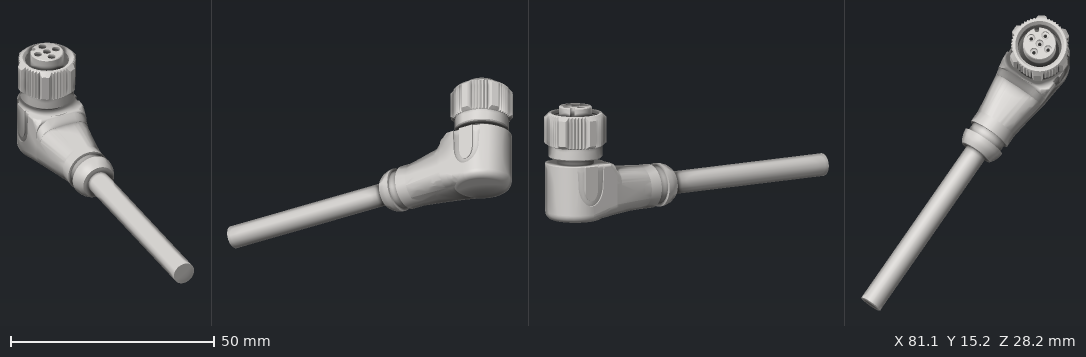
import cadquery as cq
import math


HOUSING_RADIUS = 7.4
HOUSING_TOP = 8.0
HOUSING_BOTTOM = -6.0
HOUSING_EDGE_RADIUS = 1.95
FLANK_TAPER = 3.9
FLANK_END_X = 7.85
FLANK_END_BOTTOM = -5.35
FLANK_TOP_RADIUS = 0.5
FLANK_ROUND_START_X = 5.85

NECK_CORNER_RADIUS = 3.15
NECK_START_TOP = 6.05
NECK_END_X = 19.1
NECK_SEAM_ANGLES = [-59, -23, 26, 59, 121, 154, 203, 239]
SHOULDER_ROUND = 1.0
SHOULDER_START_X = 7.5
SHOULDER_START_TOP = 7.75
SHOULDER_FOOT_X = 9.4
SHOULDER_INSET = 0.05

COLLAR_RADIUS = 5.43
GROOVE_RADIUS = 4.7
GROOVE_START_X = 22.1
GROOVE_END_X = 24.4
RELIEF_END_X = 27.7
RELIEF_END_RADIUS = 4.2
CABLE_RADIUS = 2.8
TOTAL_LENGTH = 81.1
CABLE_END_X = TOTAL_LENGTH - HOUSING_RADIUS

PLUG_NECK_RADIUS = 4.6
RING_RADIUS = 6.65
RING_BOTTOM = 9.5
RING_CHAMFER = 0.25
GRIP_BOTTOM = 12.4
NUT_TOP = 20.5
LUG_COUNT = 6
LUG_FLAT_DISTANCE = 7.6
LUG_TOP_HALF_ANGLE = 6.8
LUG_CORNER_RADIUS = LUG_FLAT_DISTANCE / math.cos(math.radians(LUG_TOP_HALF_ANGLE))
LUG_SIDE_RADIUS = 7.25
LUG_SIDE_HALF_ANGLE = 9.5
TEETH_PER_GAP = 5
TOOTH_PITCH_ANGLE = 7.0
TOOTH_TIP_RADIUS = 7.05
TOOTH_ROOT_RADIUS = 6.65
GRIP_EDGE_RADIUS = 6.6
GRIP_TOP_CHAMFER = LUG_CORNER_RADIUS - GRIP_EDGE_RADIUS
GRIP_BOTTOM_CHAMFER = 0.8

CAVITY_FLOOR = 13.0
THREAD_MINOR_RADIUS = 5.4
THREAD_MAJOR_RADIUS = 6.0
THREAD_PITCH = 1.0
THREAD_TURNS = 6
SEAL_OUTER_RADIUS = 4.8
SEAL_HEIGHT = 2.0

INSERT_RADIUS = 4.05
INSERT_TOP = 22.2
INSERT_CHAMFER = 0.2
CONTACT_SPACING = 2.5
OUTER_CONTACT_COUNT = 4
CONTACT_HOLE_RADIUS = 1.0
CONTACT_BORE_RADIUS = 0.45
CONTACT_RECESS_DEPTH = 1.0
CONTACT_BORE_DEPTH = 6.0
KEY_RADIUS = 0.6
KEY_CENTER_RADIUS = 3.55
KEY_ANGLE = 225.0

FRAME_DEPTH = 0.4
FRAME_TOP_HALF_WIDTH = 3.75
FRAME_HALF_WIDTH = 3.5
FRAME_BEND_Z = 3.2
FRAME_LOW_Z = -1.8
PANEL_HALF_WIDTH = 1.9
PANEL_BEND_Z = 2.4
PANEL_LOW_Z = -0.6
PANEL_FACE_Y = 7.18

TANGENT_X = HOUSING_RADIUS * math.sin(math.radians(FLANK_TAPER))
TANGENT_Y = HOUSING_RADIUS * math.cos(math.radians(FLANK_TAPER))


def flank_half_width(x):
    return TANGENT_Y - (x - TANGENT_X) * math.tan(math.radians(FLANK_TAPER))


def polar(radius, degrees):
    angle = math.radians(degrees)
    return (radius * math.cos(angle), radius * math.sin(angle))


def z_cylinder(radius, bottom, top):
    return cq.Workplane("XY").workplane(offset=bottom).circle(radius).extrude(top - bottom)


def x_revolve(profile):
    return profile.revolve(360, (0, 0, 0), (1, 0, 0))


def z_revolve(points):
    return cq.Workplane("XZ").polyline(points).close().revolve(360, (0, 0, 0), (0, 1, 0))


def rounded_section(x, half_width, bottom, top, bottom_radius, top_radius):
    """Wire in the plane at x: a rectangle with separate bottom and top corner radii."""
    diagonal = math.sqrt(0.5)

    def corner(y_sign, z_sign, radius):
        center_y = y_sign * (half_width - radius)
        edge_z = top if z_sign > 0 else bottom
        center_z = edge_z - z_sign * radius
        on_side = (y_sign * half_width, center_z)
        on_arc = (center_y + y_sign * radius * diagonal, center_z + z_sign * radius * diagonal)
        on_edge = (center_y, edge_z)
        return on_side, on_arc, on_edge

    lower_right = corner(1, -1, bottom_radius)
    upper_right = corner(1, 1, top_radius)
    upper_left = corner(-1, 1, top_radius)
    lower_left = corner(-1, -1, bottom_radius)
    outline = (
        cq.Workplane("YZ", origin=(x, 0, 0))
        .moveTo(*lower_right[2])
        .threePointArc(lower_right[1], lower_right[0])
        .lineTo(*upper_right[0])
        .threePointArc(upper_right[1], upper_right[2])
        .lineTo(*upper_left[2])
        .threePointArc(upper_left[1], upper_left[0])
        .lineTo(*lower_left[0])
        .threePointArc(lower_left[1], lower_left[2])
        .close()
    )
    return outline.val()


def circle_section(x, radius, split_angles):
    """Circle in the plane at x, split into arcs so that it lofts edge by edge."""
    outline = cq.Workplane("YZ", origin=(x, 0, 0)).moveTo(*polar(radius, split_angles[0]))
    following = split_angles[1:] + [split_angles[0] + 360]
    for start, end in zip(split_angles, following):
        outline = outline.threePointArc(polar(radius, (start + end) / 2), polar(radius, end))
    return outline.close().val()


def ruled_loft(sections):
    return cq.Workplane(cq.Solid.makeLoft(sections, True))


def flank_section(x, inset, top_radius):
    """Cross-section of the tapering flanks; the bottom rises and rounds off toward the cable."""
    progress = (x - TANGENT_X) / (FLANK_END_X - TANGENT_X)
    bottom = HOUSING_BOTTOM + progress * (FLANK_END_BOTTOM - HOUSING_BOTTOM)
    bottom_radius = HOUSING_EDGE_RADIUS + progress * (NECK_CORNER_RADIUS - HOUSING_EDGE_RADIUS)
    return rounded_section(x, flank_half_width(x) - inset, bottom, HOUSING_TOP, bottom_radius, top_radius)


def make_flanks(inset=0.0):
    sections = [
        flank_section(TANGENT_X, inset, FLANK_TOP_RADIUS),
        flank_section(FLANK_ROUND_START_X, inset, FLANK_TOP_RADIUS),
        flank_section(FLANK_END_X, inset, NECK_CORNER_RADIUS),
    ]
    return ruled_loft(sections)


def shoulder_round_cutter():
    """Removes the sharp upper edge at the cable end of the flanks."""
    round_start = (FLANK_END_X - SHOULDER_ROUND, HOUSING_TOP)
    round_end = (FLANK_END_X, HOUSING_TOP - SHOULDER_ROUND)
    return (
        cq.Workplane("XZ")
        .moveTo(*round_start)
        .radiusArc(round_end, SHOULDER_ROUND)
        .lineTo(FLANK_END_X, HOUSING_TOP)
        .close()
        .extrude(HOUSING_RADIUS, both=True)
    )


def make_housing():
    shell = z_cylinder(HOUSING_RADIUS, HOUSING_BOTTOM, HOUSING_TOP)
    shell = shell.faces("<Z").edges().fillet(HOUSING_EDGE_RADIUS)
    return shell.union(make_flanks().cut(shoulder_round_cutter()))


def make_shoulder():
    """Ramp from the top of the housing down onto the neck."""
    start = rounded_section(
        SHOULDER_START_X,
        flank_half_width(SHOULDER_START_X) - SHOULDER_INSET,
        0,
        SHOULDER_START_TOP,
        SHOULDER_INSET,
        NECK_CORNER_RADIUS,
    )
    foot_progress = (SHOULDER_FOOT_X - FLANK_END_X) / (NECK_END_X - FLANK_END_X)
    neck_half_width = flank_half_width(FLANK_END_X)
    foot = rounded_section(
        SHOULDER_FOOT_X,
        neck_half_width + foot_progress * (COLLAR_RADIUS - neck_half_width) - SHOULDER_INSET,
        0,
        NECK_START_TOP + foot_progress * (COLLAR_RADIUS - NECK_START_TOP) - SHOULDER_INSET,
        SHOULDER_INSET,
        NECK_CORNER_RADIUS,
    )
    return ruled_loft([start, foot])


def make_neck():
    start = rounded_section(
        FLANK_END_X,
        flank_half_width(FLANK_END_X),
        FLANK_END_BOTTOM,
        NECK_START_TOP,
        NECK_CORNER_RADIUS,
        NECK_CORNER_RADIUS,
    )
    end = circle_section(NECK_END_X, COLLAR_RADIUS, NECK_SEAM_ANGLES)
    return ruled_loft([start, end])


def make_strain_relief_and_cable():
    length = RELIEF_END_X - GROOVE_END_X
    drop = COLLAR_RADIUS - RELIEF_END_RADIUS
    round_radius = (length**2 + drop**2) / (2 * drop)
    profile = (
        cq.Workplane("XY")
        .moveTo(NECK_END_X, 0)
        .lineTo(NECK_END_X, COLLAR_RADIUS)
        .lineTo(GROOVE_START_X, COLLAR_RADIUS)
        .lineTo(GROOVE_START_X, GROOVE_RADIUS)
        .lineTo(GROOVE_END_X, GROOVE_RADIUS)
        .lineTo(GROOVE_END_X, COLLAR_RADIUS)
        .radiusArc((RELIEF_END_X, RELIEF_END_RADIUS), round_radius)
        .lineTo(RELIEF_END_X, CABLE_RADIUS)
        .lineTo(CABLE_END_X, CABLE_RADIUS)
        .lineTo(CABLE_END_X, 0)
        .close()
    )
    return x_revolve(profile)


def u_prism(top_half_width, half_width, bend_z, low_z):
    """U-shaped prism through both flanks: nearly straight sides ending in a half ellipse."""
    return (
        cq.Workplane("XZ")
        .moveTo(-top_half_width, HOUSING_TOP)
        .lineTo(top_half_width, HOUSING_TOP)
        .lineTo(half_width, bend_z)
        .lineTo(-half_width, bend_z)
        .close()
        .extrude(HOUSING_RADIUS, both=True)
        .union(
            cq.Workplane("XZ", origin=(0, 0, bend_z))
            .ellipse(half_width, bend_z - low_z)
            .extrude(HOUSING_RADIUS, both=True)
        )
    )


def cut_label_frames(housing):
    core = z_cylinder(HOUSING_RADIUS - FRAME_DEPTH, HOUSING_BOTTOM, HOUSING_TOP)
    core = core.union(make_flanks(inset=FRAME_DEPTH))
    frame = u_prism(FRAME_TOP_HALF_WIDTH, FRAME_HALF_WIDTH, FRAME_BEND_Z, FRAME_LOW_Z).cut(core)
    panel = u_prism(PANEL_HALF_WIDTH, PANEL_HALF_WIDTH, PANEL_BEND_Z, PANEL_LOW_Z)
    panel_limit = (
        cq.Workplane("XY", origin=(0, 0, HOUSING_BOTTOM))
        .rect(2 * HOUSING_RADIUS, 2 * PANEL_FACE_Y)
        .extrude(HOUSING_TOP - HOUSING_BOTTOM)
    )
    return housing.cut(frame.cut(panel.intersect(panel_limit)))


def grip_outline():
    """Closed polygon of the grip: flat-topped lugs with pointed teeth between them."""
    sector = 360 / LUG_COUNT
    first_root = (sector - TEETH_PER_GAP * TOOTH_PITCH_ANGLE) / 2
    points = []
    for lug in range(LUG_COUNT):
        lug_angle = sector / 2 + lug * sector
        points.append(polar(LUG_SIDE_RADIUS, lug_angle - LUG_SIDE_HALF_ANGLE))
        points.append(polar(LUG_CORNER_RADIUS, lug_angle - LUG_TOP_HALF_ANGLE))
        points.append(polar(LUG_CORNER_RADIUS, lug_angle + LUG_TOP_HALF_ANGLE))
        points.append(polar(LUG_SIDE_RADIUS, lug_angle + LUG_SIDE_HALF_ANGLE))
        root_angle = lug_angle + first_root
        points.append(polar(TOOTH_ROOT_RADIUS, root_angle))
        for tooth in range(TEETH_PER_GAP):
            tooth_start = root_angle + tooth * TOOTH_PITCH_ANGLE
            points.append(polar(TOOTH_TIP_RADIUS, tooth_start + TOOTH_PITCH_ANGLE / 2))
            points.append(polar(TOOTH_ROOT_RADIUS, tooth_start + TOOTH_PITCH_ANGLE))
    return points


def make_grip():
    grip = (
        cq.Workplane("XY", origin=(0, 0, GRIP_BOTTOM))
        .polyline(grip_outline())
        .close()
        .extrude(NUT_TOP - GRIP_BOTTOM)
    )
    envelope = z_revolve([
        (0, GRIP_BOTTOM),
        (GRIP_EDGE_RADIUS, GRIP_BOTTOM),
        (LUG_CORNER_RADIUS, GRIP_BOTTOM + GRIP_BOTTOM_CHAMFER),
        (LUG_CORNER_RADIUS, NUT_TOP - GRIP_TOP_CHAMFER),
        (GRIP_EDGE_RADIUS, NUT_TOP),
        (0, NUT_TOP),
    ])
    return grip.intersect(envelope)


def thread_cavity():
    """Bore of the nut with ring-shaped thread grooves and a flared mouth."""
    flare = THREAD_MAJOR_RADIUS - THREAD_MINOR_RADIUS
    points = [(0, NUT_TOP), (THREAD_MAJOR_RADIUS, NUT_TOP)]
    thread_top = NUT_TOP - flare
    for turn in range(THREAD_TURNS):
        groove_top = thread_top - turn * THREAD_PITCH
        points.append((THREAD_MINOR_RADIUS, groove_top))
        points.append((THREAD_MAJOR_RADIUS, groove_top - THREAD_PITCH / 2))
    points.append((THREAD_MINOR_RADIUS, thread_top - THREAD_TURNS * THREAD_PITCH))
    points.append((THREAD_MINOR_RADIUS, CAVITY_FLOOR))
    points.append((0, CAVITY_FLOOR))
    return z_revolve(points)


def make_nut():
    ring = z_cylinder(RING_RADIUS, RING_BOTTOM, GRIP_BOTTOM).faces("<Z").edges().chamfer(RING_CHAMFER)
    plug_neck = z_cylinder(PLUG_NECK_RADIUS, HOUSING_TOP, RING_BOTTOM)
    return make_grip().cut(thread_cavity()).union(ring).union(plug_neck)


def make_insert():
    insert = z_cylinder(INSERT_RADIUS, GRIP_BOTTOM, INSERT_TOP).faces(">Z").edges().chamfer(INSERT_CHAMFER)
    key_x, key_y = polar(KEY_CENTER_RADIUS, KEY_ANGLE)
    key_groove = z_cylinder(KEY_RADIUS, CAVITY_FLOOR, INSERT_TOP)
    key_mouth = (
        cq.Workplane("XY", origin=(0, 0, CAVITY_FLOOR))
        .rect(2 * KEY_RADIUS, 2 * KEY_RADIUS)
        .extrude(INSERT_TOP - CAVITY_FLOOR)
        .translate((KEY_RADIUS, 0, 0))
        .rotate((0, 0, 0), (0, 0, 1), KEY_ANGLE)
    )
    key = key_groove.union(key_mouth).translate((key_x, key_y, 0))

    contacts = [(0, 0)]
    for index in range(OUTER_CONTACT_COUNT):
        contacts.append(polar(CONTACT_SPACING, index * 360 / OUTER_CONTACT_COUNT))
    top = cq.Workplane("XY", origin=(0, 0, INSERT_TOP)).pushPoints(contacts)
    recesses = top.circle(CONTACT_HOLE_RADIUS).extrude(-CONTACT_RECESS_DEPTH)
    bores = top.circle(CONTACT_BORE_RADIUS).extrude(-CONTACT_BORE_DEPTH)
    seal = z_revolve([
        (0, CAVITY_FLOOR),
        (SEAL_OUTER_RADIUS, CAVITY_FLOOR),
        (INSERT_RADIUS, CAVITY_FLOOR + SEAL_HEIGHT),
        (0, CAVITY_FLOOR + SEAL_HEIGHT),
    ])
    return insert.union(seal).cut(key).cut(recesses).cut(bores)


result = (
    cut_label_frames(make_housing())
    .union(make_neck())
    .union(make_shoulder())
    .union(make_strain_relief_and_cable())
    .union(make_nut())
    .union(make_insert())
)